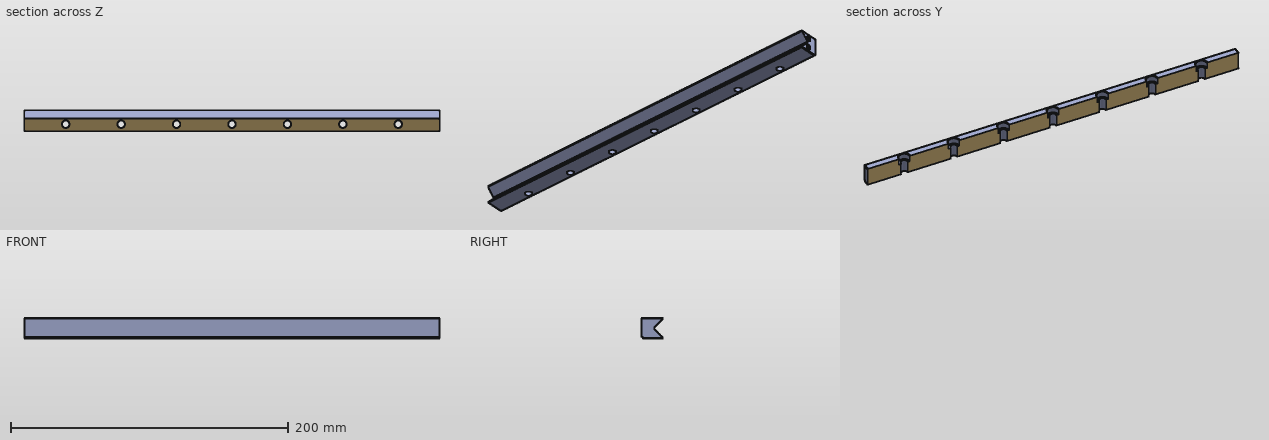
import cadquery as cq

length = 300.0
width = 15.5
height = 15.0

groove_depth = 6.0
groove_flat = 1.2
groove_opening = groove_flat + 2 * groove_depth

bottom_chamfer = 1.5
top_chamfer = 0.5
end_chamfer = 0.5
chamfer_angle = 45.0

hole_count = 7
hole_pitch = 40.0
hole_y = 5.25
hole_diameter = 5.25
counterbore_diameter = 8.5
counterbore_depth = 5.0
counterbore_chamfer = 0.45

end_hole_diameter = 2.5
end_hole_chamfer = 0.75
end_hole_depth = 8.0
end_hole_y = 8.2
end_hole_spacing = 7.2


def make_bar():
    """Extrude the outer cross-section and chamfer both ends all around."""
    profile = [
        (bottom_chamfer, 0),
        (width, 0),
        (width, height),
        (top_chamfer, height),
        (0, height - top_chamfer),
        (0, bottom_chamfer),
    ]
    bar = cq.Workplane("YZ").polyline(profile).close().extrude(length)
    return bar.faces("<X or >X").chamfer(end_chamfer)


def cut_raceway(rail):
    """Cut the V raceway, with its flat bottom, along the +Y side."""
    middle = height / 2
    profile = [
        (width, middle - groove_opening / 2),
        (width - groove_depth, middle - groove_flat / 2),
        (width - groove_depth, middle + groove_flat / 2),
        (width, middle + groove_opening / 2),
    ]
    return rail.cut(cq.Workplane("YZ").polyline(profile).close().extrude(length))


def cut_mounting_holes(rail):
    """Cut the row of counterbored through holes, centred along the rail."""
    positions = cq.Workplane("XY", origin=(length / 2, hole_y, height)).rarray(
        hole_pitch, 1, hole_count, 1
    )
    through = positions.circle(hole_diameter / 2).extrude(-height)
    counterbore = positions.circle(counterbore_diameter / 2).extrude(-counterbore_depth)
    rim = (
        positions.circle(counterbore_diameter / 2 + counterbore_chamfer)
        .extrude(-counterbore_chamfer, taper=chamfer_angle)
    )
    return rail.cut(through).cut(counterbore).cut(rim)


def cut_end_holes(rail):
    """Cut the pair of blind holes, with chamfered mouths, in the left end face."""
    positions = cq.Workplane("YZ", origin=(0, end_hole_y, height / 2)).rarray(
        1, end_hole_spacing, 1, 2
    )
    bore = positions.circle(end_hole_diameter / 2).extrude(end_hole_depth)
    rim = (
        positions.circle(end_hole_diameter / 2 + end_hole_chamfer)
        .extrude(end_hole_chamfer, taper=chamfer_angle)
    )
    return rail.cut(bore).cut(rim)


result = cut_end_holes(cut_mounting_holes(cut_raceway(make_bar())))